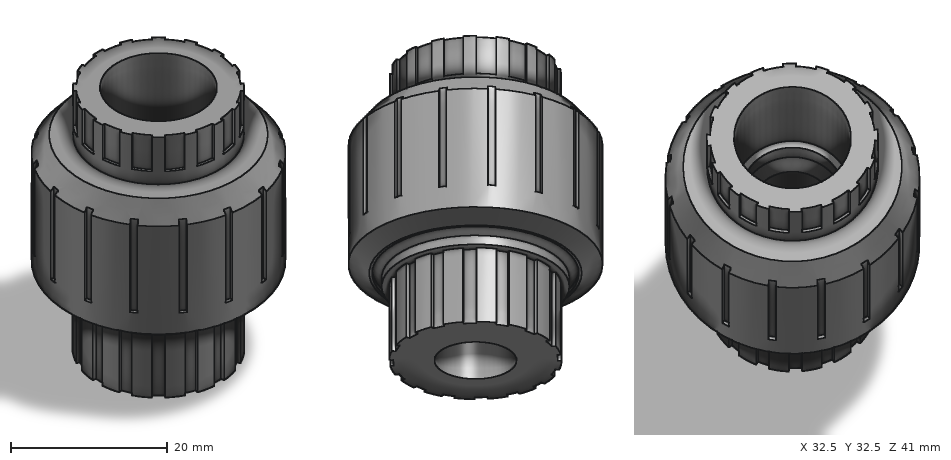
import cadquery as cq


TOTAL_HEIGHT = 41.0

BORE_D = 10.5
MOUTH_D = 13.05
CAVITY_D = 26.45
TUBE_D = 21.9
JOINT_Z = 24.6
SHOULDER_Z = 28.7

GRIP_COUNT = 16
CORE_D = 21.07
PAD_WIDTH = 2.6

RIB_D = 22.05
COLLAR_D = 24.0
COLLAR_BOTTOM_Z = 10.58
COLLAR_TOP_Z = 11.85
HEAD_BOTTOM_Z = COLLAR_TOP_Z + (CAVITY_D - COLLAR_D) / 2
MOUTH_DEPTH = 1.5

SOCKET_D = 14.95
SOCKET_DEPTH = 13.95
NOTCH_LENGTH = 5.4

NUT_D = 32.5
NUT_TOP_D = 27.95
NUT_BOTTOM_D = 27.2
NUT_TOP_Z = 33.55
NUT_BOTTOM_Z = 12.5
UPPER_CONE_Z = 30.75
LOWER_CONE_Z = 13.78
SLOT_WIDTH = 1.0
SLOT_DEPTH = 0.5
SLOT_BOTTOM_Z = 16.97


def revolve_profile(points):
    """Solid of revolution about Z from (radius, height) points."""
    return cq.Workplane("XZ").polyline(points).close().revolve(360, (0, 0), (0, 1))


def grip_blocks(inner_radius, outer_radius, width, bottom_z, top_z):
    """Equally spaced radial blocks, one of them along +X."""
    block = cq.Workplane("XY").box(
        outer_radius - inner_radius, width, top_z - bottom_z, centered=(False, True, False)
    ).translate((inner_radius, 0, bottom_z))
    blocks = cq.Workplane("XY")
    for index in range(GRIP_COUNT):
        angle = index * 360 / GRIP_COUNT
        blocks = blocks.add(block.rotate((0, 0, 0), (0, 0, 1), angle))
    return blocks.combine()


def make_body():
    """Ribbed spigot with a collar and a head, bored through with a conical mouth."""
    body = revolve_profile([
        (BORE_D / 2, 0),
        (CORE_D / 2, 0),
        (CORE_D / 2, COLLAR_BOTTOM_Z),
        (COLLAR_D / 2, COLLAR_BOTTOM_Z),
        (COLLAR_D / 2, COLLAR_TOP_Z),
        (CAVITY_D / 2, HEAD_BOTTOM_Z),
        (CAVITY_D / 2, JOINT_Z),
        (MOUTH_D / 2, JOINT_Z),
        (BORE_D / 2, JOINT_Z - MOUTH_DEPTH),
    ])
    rib_envelope = cq.Workplane("XY").circle(RIB_D / 2).extrude(COLLAR_BOTTOM_Z)
    rib_root = (BORE_D + CORE_D) / 4
    ribs = grip_blocks(rib_root, RIB_D, PAD_WIDTH, 0, COLLAR_BOTTOM_Z).intersect(rib_envelope)
    return body.union(ribs)


def make_end_piece():
    """Flanged tube with a pipe socket and round-floored notches around its upper end."""
    socket_floor_z = TOTAL_HEIGHT - SOCKET_DEPTH
    end_piece = revolve_profile([
        (MOUTH_D / 2, JOINT_Z),
        (CAVITY_D / 2, JOINT_Z),
        (CAVITY_D / 2, SHOULDER_Z),
        (TUBE_D / 2, SHOULDER_Z),
        (TUBE_D / 2, TOTAL_HEIGHT),
        (SOCKET_D / 2, TOTAL_HEIGHT),
        (SOCKET_D / 2, socket_floor_z),
        (MOUTH_D / 2, socket_floor_z),
    ])
    notch_bottom_z = TOTAL_HEIGHT - NOTCH_LENGTH
    notch_core = cq.Workplane("XY").circle(CORE_D / 2).extrude(TOTAL_HEIGHT)
    notch_root = (SOCKET_D + CORE_D) / 4
    notches = grip_blocks(notch_root, TUBE_D, PAD_WIDTH, notch_bottom_z, TOTAL_HEIGHT).cut(notch_core)
    return end_piece.cut(notches)


def make_nut():
    """Double-coned nut with a stepped hole and slots that run out on the upper cone."""
    nut = revolve_profile([
        (CAVITY_D / 2, NUT_BOTTOM_Z),
        (NUT_BOTTOM_D / 2, NUT_BOTTOM_Z),
        (NUT_D / 2, LOWER_CONE_Z),
        (NUT_D / 2, UPPER_CONE_Z),
        (NUT_TOP_D / 2, NUT_TOP_Z),
        (TUBE_D / 2, NUT_TOP_Z),
        (TUBE_D / 2, SHOULDER_Z),
        (CAVITY_D / 2, SHOULDER_Z),
    ])
    slot_floor = NUT_D / 2 - SLOT_DEPTH
    return nut.cut(grip_blocks(slot_floor, NUT_D, SLOT_WIDTH, SLOT_BOTTOM_Z, NUT_TOP_Z))


body = make_body()
end_piece = make_end_piece()
nut = make_nut()

result = cq.Compound.makeCompound([body.val(), end_piece.val(), nut.val()])